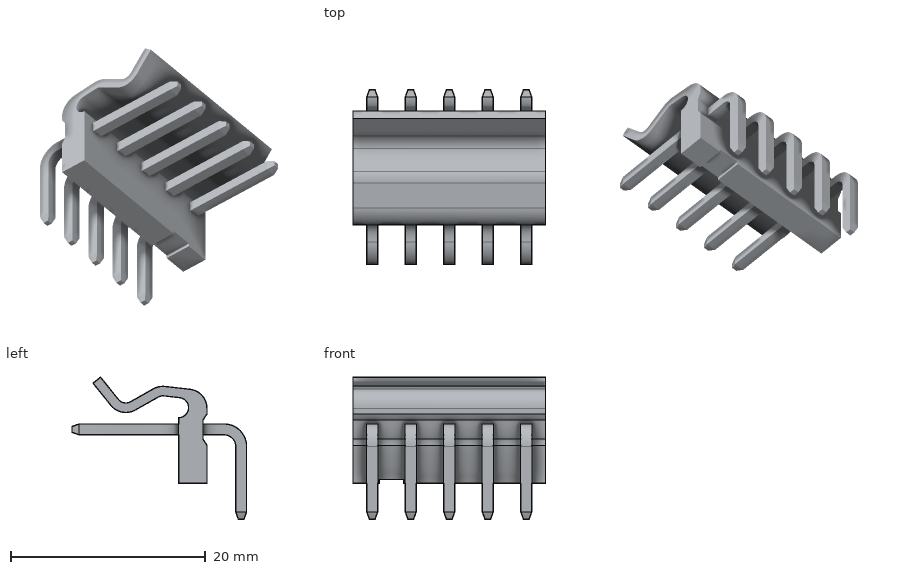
import cadquery as cq
import math


pin_count = 5
pin_pitch = 3.96
pin_positions = [(i - (pin_count - 1) / 2) * pin_pitch for i in range(pin_count)]
pin_size = 1.14
pin_top = 6.12
pin_front = -4.08
pin_rear = 13.91
pin_bottom = -3.69
bend_inner_radius = 1.18
bend_outer_radius = bend_inner_radius + pin_size
tip_length = 0.76
tip_size = 0.6

housing_length = pin_count * pin_pitch
housing_depth = 2.93
groove_depth = 0.41
groove_lower_edge = 3.92
groove_floor_bottom = 4.55
groove_floor_top = 6.52
groove_upper_edge = 7.13
foot_notch_width = 2.5
foot_notch_height = 0.38

shoulder_radius = 1.98
shoulder_height = 7.72
throat_radius = 1.02
ramp_thickness = 1.0
bend_radius = 1.0
bend_far_radius = bend_radius + ramp_thickness
roof_slope = 6.5
roof_length = 2.57
dip_slope = 29.5
dip_length = 2.68
lip_slope = 51.2
lip_length = 2.92


def polar(origin, distance, angle):
    """Point at a distance from origin, angle in degrees from +Y towards +Z."""
    turn = math.radians(angle)
    return (origin[0] + distance * math.cos(turn), origin[1] + distance * math.sin(turn))


def make_pin(x):
    """Square pin bent down at the front, with a tapered tip at each end."""
    pin_underside = pin_top - pin_size
    leg_rear = pin_front + pin_size
    shank_rear = pin_rear - tip_length
    leg_bottom = pin_bottom + tip_length
    bend_centre = (pin_front + bend_outer_radius, pin_top - bend_outer_radius)

    shank = (
        cq.Workplane("YZ", origin=(x, 0, 0))
        .moveTo(shank_rear, pin_top)
        .lineTo(bend_centre[0], pin_top)
        .threePointArc(polar(bend_centre, bend_outer_radius, 135), (pin_front, bend_centre[1]))
        .lineTo(pin_front, leg_bottom)
        .lineTo(leg_rear, leg_bottom)
        .lineTo(leg_rear, bend_centre[1])
        .threePointArc(polar(bend_centre, bend_inner_radius, 135), (bend_centre[0], pin_underside))
        .lineTo(shank_rear, pin_underside)
        .close()
        .extrude(pin_size / 2, both=True)
    )
    rear_base = cq.Plane((x, shank_rear, pin_top - pin_size / 2), xDir=(1, 0, 0), normal=(0, 1, 0))
    leg_base = cq.Plane((x, pin_front + pin_size / 2, leg_bottom), xDir=(1, 0, 0), normal=(0, 0, -1))
    return shank.union(make_tip(rear_base)).union(make_tip(leg_base)).solids()


def make_tip(base_plane):
    """Square frustum that grows along the normal of its base plane."""
    return (
        cq.Workplane(base_plane)
        .rect(pin_size, pin_size)
        .workplane(offset=tip_length)
        .rect(tip_size, tip_size)
        .loft(ruled=True)
    )


def make_ramped_block():
    """Solid block with its ramp: one side outline extruded along the row."""
    roof_normal = 90 + roof_slope
    dip_normal = 90 - dip_slope
    lip_normal = 90 + lip_slope

    shoulder_centre = (shoulder_radius, shoulder_height)
    roof_front = polar(shoulder_centre, shoulder_radius, roof_normal)
    roof_rear = polar(roof_front, roof_length, roof_slope)
    ridge_centre = polar(roof_rear, -bend_far_radius, roof_normal)
    dip_front = polar(ridge_centre, bend_far_radius, dip_normal)
    dip_rear = polar(dip_front, dip_length, -dip_slope)
    valley_centre = polar(dip_rear, bend_radius, dip_normal)
    lip_front = polar(valley_centre, -bend_radius, lip_normal)
    lip_end = polar(lip_front, lip_length, lip_slope)

    roof_underside = polar(roof_front, -ramp_thickness, roof_normal)
    throat_offset = throat_radius / math.cos(math.radians(roof_slope))
    throat_run = housing_depth - roof_underside[0]
    throat_height = roof_underside[1] + throat_run * math.tan(math.radians(roof_slope)) - throat_offset
    throat_centre = (housing_depth, throat_height)

    return (
        cq.Workplane("YZ")
        .moveTo(0, 0)
        .lineTo(0, groove_lower_edge)
        .lineTo(groove_depth, groove_floor_bottom)
        .lineTo(groove_depth, groove_floor_top)
        .lineTo(0, groove_upper_edge)
        .lineTo(0, shoulder_height)
        .threePointArc(polar(shoulder_centre, shoulder_radius, 135), roof_front)
        .lineTo(*roof_rear)
        .threePointArc(polar(ridge_centre, bend_far_radius, 90), dip_front)
        .lineTo(*dip_rear)
        .threePointArc(polar(valley_centre, bend_radius, -90), lip_front)
        .lineTo(*lip_end)
        .lineTo(*polar(lip_end, -ramp_thickness, lip_normal))
        .lineTo(*polar(valley_centre, -bend_far_radius, lip_normal))
        .threePointArc(
            polar(valley_centre, bend_far_radius, -90),
            polar(valley_centre, -bend_far_radius, dip_normal),
        )
        .lineTo(*polar(ridge_centre, bend_radius, dip_normal))
        .threePointArc(
            polar(ridge_centre, bend_radius, 90),
            polar(ridge_centre, bend_radius, roof_normal),
        )
        .lineTo(*polar(throat_centre, throat_radius, roof_normal))
        .threePointArc(
            polar(throat_centre, throat_radius, 180),
            polar(throat_centre, throat_radius, 270),
        )
        .lineTo(housing_depth, 0)
        .close()
        .extrude(housing_length / 2, both=True)
    )


def make_housing(pins):
    """Housing with the foot notch between the first two pins and a hole for every pin."""
    notch_x = (pin_positions[0] + pin_positions[1]) / 2
    foot_notch = (
        cq.Workplane("XY")
        .center(notch_x, housing_depth / 2)
        .rect(foot_notch_width, housing_depth)
        .extrude(foot_notch_height)
    )
    housing = make_ramped_block().cut(foot_notch)
    for pin in pins:
        housing = housing.cut(pin)
    return housing.solids()


pins = [make_pin(x) for x in pin_positions]
housing = make_housing(pins)

result = cq.Compound.makeCompound([housing.val(), *[pin.val() for pin in pins]])